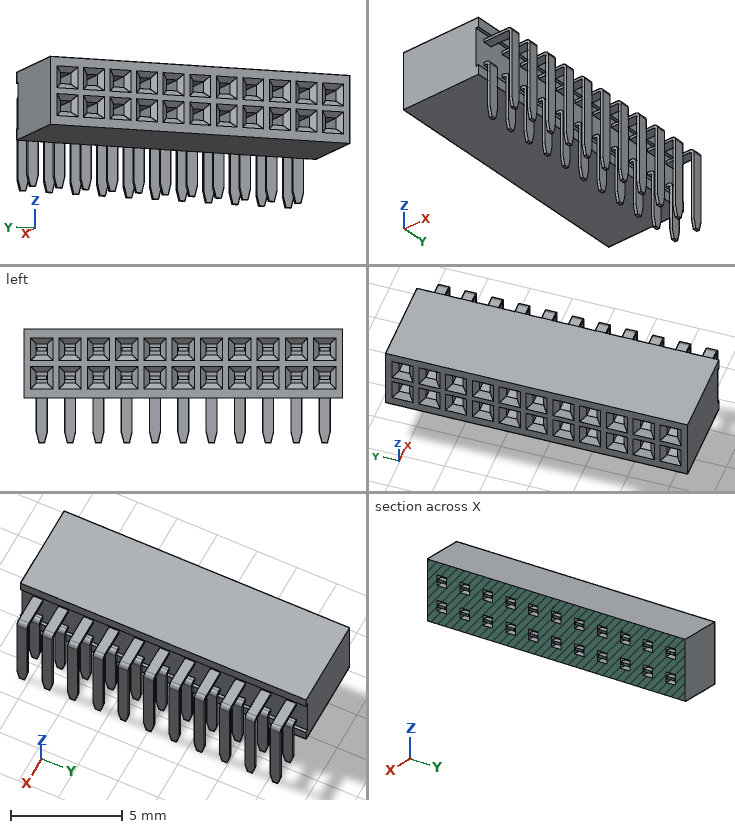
import cadquery as cq


positions = 11
pitch = 1.27
row_spacing = pitch

end_margin = 0.81
body_depth = 4.4
body_width = (positions - 1) * pitch + 2 * end_margin
body_height = 3.1
recess_depth = 0.15
lip_height = 0.52

mouth_size = 1.0
hole_size = 0.5
lead_in_depth = 0.25
socket_depth = 2.5

pin_width = 0.5
pin_thickness = 0.15
bend_outer_radius = 0.22
bend_inner_radius = bend_outer_radius - pin_thickness
rear_leg_outer_x = 5.89
tail_below_body = 2.02
tip_length = 0.5
tip_width = 0.25

blade_width = 0.44
blade_length = 0.5
blade_root_overlap = 0.2

row_mid_z = body_height / 2
lower_row_z = row_mid_z - row_spacing / 2
upper_row_z = row_mid_z + row_spacing / 2
position_ys = [(i - (positions - 1) / 2) * pitch for i in range(positions)]


def box_from(x_start, length, width, height, z_mid):
    """Box starting at x_start, centred on Y = 0 and on z_mid."""
    box = cq.Workplane("XY").box(length, width, height, centered=(False, True, True))
    return box.translate((x_start, 0, z_mid))


def make_housing():
    """Rectangular block with a shallow rear recess between two lips."""
    block = box_from(0, body_depth, body_width, body_height, row_mid_z)
    recess_height = body_height - 2 * lip_height
    recess = box_from(body_depth - recess_depth, recess_depth, body_width, recess_height, row_mid_z)
    return block.cut(recess)


def make_socket(row_z):
    """Cavity of one socket at Y = 0."""
    lead_in = (
        cq.Workplane("YZ")
        .rect(mouth_size, mouth_size)
        .workplane(offset=lead_in_depth)
        .rect(hole_size, hole_size)
        .loft(ruled=True)
        .translate((0, 0, row_z))
    )
    hole = box_from(lead_in_depth, socket_depth - lead_in_depth, hole_size, hole_size, row_z)
    return lead_in.union(hole)


def make_pin(row_z, leg_outer_x):
    """Bent pin at Y = 0, with its blade in the socket and a tapered tail tip."""
    tail_z = -tail_below_body
    root_x = socket_depth + blade_root_overlap
    leg_inner_x = leg_outer_x - pin_thickness
    top_z = row_z + pin_thickness / 2
    bottom_z = row_z - pin_thickness / 2

    strip = (
        cq.Workplane("XZ")
        .moveTo(root_x, top_z)
        .lineTo(leg_outer_x - bend_outer_radius, top_z)
        .radiusArc((leg_outer_x, top_z - bend_outer_radius), bend_outer_radius)
        .lineTo(leg_outer_x, tail_z)
        .lineTo(leg_inner_x, tail_z)
        .lineTo(leg_inner_x, bottom_z - bend_inner_radius)
        .radiusArc((leg_inner_x - bend_inner_radius, bottom_z), -bend_inner_radius)
        .lineTo(root_x, bottom_z)
        .close()
        .extrude(pin_width / 2, both=True)
    )

    tip_start_z = tail_z + tip_length
    width_outline = (
        cq.Workplane("YZ")
        .moveTo(-pin_width / 2, top_z)
        .lineTo(-pin_width / 2, tip_start_z)
        .lineTo(-tip_width / 2, tail_z)
        .lineTo(tip_width / 2, tail_z)
        .lineTo(pin_width / 2, tip_start_z)
        .lineTo(pin_width / 2, top_z)
        .close()
        .extrude(leg_outer_x)
    )

    blade_x = socket_depth - blade_length
    blade = box_from(blade_x, root_x - blade_x, blade_width, pin_thickness, row_z)
    return strip.intersect(width_outline).union(blade)


def repeat_along_row(feature):
    """Copies of one feature at every position along Y, as one compound."""
    shape = feature.val()
    copies = [shape.moved(cq.Location(cq.Vector(0, y, 0))) for y in position_ys]
    return cq.Workplane(cq.Compound.makeCompound(copies))


front_leg_outer_x = rear_leg_outer_x - row_spacing
rows = [(lower_row_z, front_leg_outer_x), (upper_row_z, rear_leg_outer_x)]

result = make_housing()
for row_z, leg_outer_x in rows:
    result = result.cut(repeat_along_row(make_socket(row_z)))
    result = result.union(repeat_along_row(make_pin(row_z, leg_outer_x)))